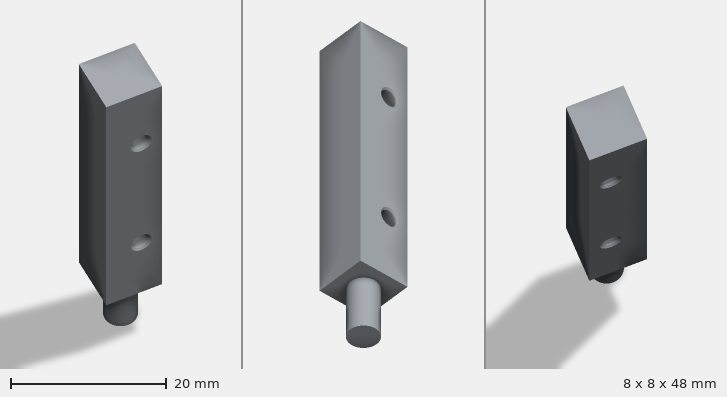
import cadquery as cq

body_width = 8.0
body_height = 40.0

stem_diameter = 4.5
stem_length = 8.0

hole_diameter = 2.46
hole_mouth_diameter = 3.0
hole_chamfer = (hole_mouth_diameter - hole_diameter) / 2
hole_y = 1.0
hole_spacing = 20.0
lower_hole_z = 10.0
hole_heights = [lower_hole_z, lower_hole_z + hole_spacing]


def make_body():
    """Square bar standing on Z = 0, centred on the Z axis."""
    return cq.Workplane("XY").rect(body_width, body_width).extrude(body_height)


def make_stem():
    """Cylinder hanging from the bottom face of the body."""
    return cq.Workplane("XY").circle(stem_diameter / 2).extrude(-stem_length)


def make_cross_hole(height):
    """Through hole along X with a 45 degree conical countersink at each end."""
    half_width = body_width / 2
    bore_radius = hole_diameter / 2
    mouth_radius = hole_mouth_diameter / 2
    half_profile = [
        (-half_width, 0),
        (-half_width, mouth_radius),
        (-half_width + hole_chamfer, bore_radius),
        (half_width - hole_chamfer, bore_radius),
        (half_width, mouth_radius),
        (half_width, 0),
    ]
    cutter = cq.Workplane("XY").polyline(half_profile).close().revolve(360, (0, 0, 0), (1, 0, 0))
    return cutter.translate((0, hole_y, height))


result = make_body().union(make_stem())
for hole_height in hole_heights:
    result = result.cut(make_cross_hole(hole_height))